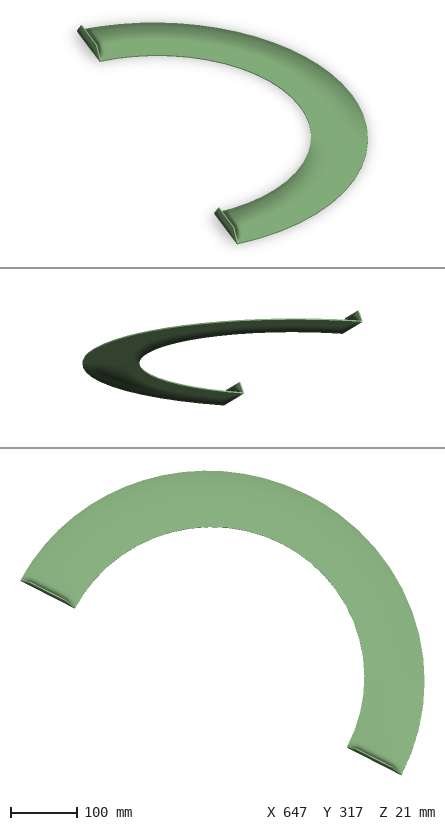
import cadquery as cq

length = 647.0
depth = 317.0
height = 21.0
sheet = 2.0
inner_half_width = 231.0
inner_rise = 232.0
flange_end_inset = 16.0

outer_half_width = length / 2


def half_ellipse_plate(half_width, rise):
    """Half-elliptical plate standing on the X axis, one sheet thick."""
    ellipse = cq.Workplane("XY").ellipse(half_width, rise).extrude(sheet)
    upper_half = cq.Workplane("XY").box(2 * half_width, rise, sheet, centered=(True, False, False))
    return ellipse.intersect(upper_half)


def end_flange(side):
    """Upright trapezoidal tab along one foot of the arch; side is -1 or +1."""
    profile = [
        (side * inner_half_width, 0),
        (side * outer_half_width, 0),
        (side * outer_half_width, sheet),
        (side * (outer_half_width - flange_end_inset), height),
        (side * (inner_half_width + flange_end_inset), height),
        (side * inner_half_width, sheet),
    ]
    return cq.Workplane("XZ").polyline(profile).close().extrude(-sheet)


outer_plate = half_ellipse_plate(outer_half_width, depth)
opening = half_ellipse_plate(inner_half_width, inner_rise)
result = outer_plate.cut(opening)

for side in (-1, 1):
    result = result.union(end_flange(side))